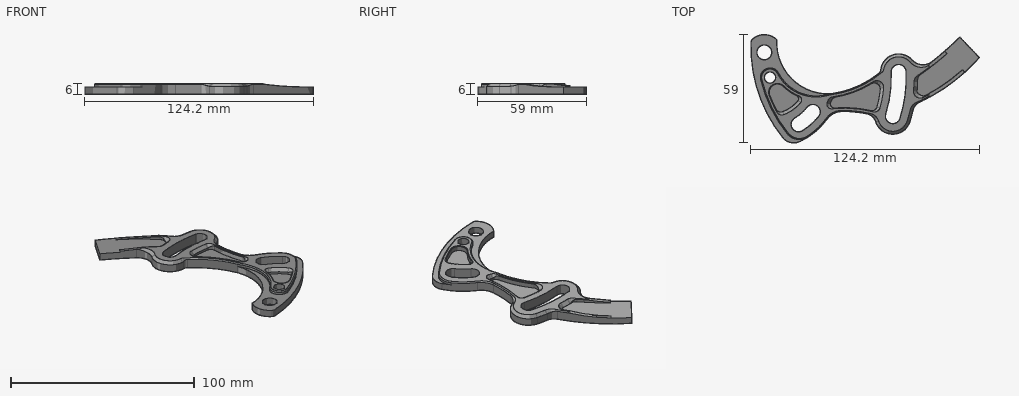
import cadquery as cq
import math

PIVOT = (0.0, 0.0)

BASE_HEIGHT = 4.0
FULL_HEIGHT = 6.0
POCKET_FLOOR = 3.0
TAPER_DEPTH = FULL_HEIGHT - BASE_HEIGHT

EDGE_CHAMFER = 0.6
LUG_CHAMFER = 1.6
WALL = 1.9
RIM_CHAMFER = 0.4
END_CHAMFER = 1.7
RAIL_WIDTH = 1.5
RAIL_CHAMFER = 0.4

PIVOT_HOLE_RADIUS = 3.0
BOLT_RADIUS = 4.0
BOLT_HOLE = (-3.1, 13.7)
BLADE_SLOT_RADIUS = 29.8
BLADE_SLOT_ANGLES = (-58.7, -38.7)
LUG_SLOT_RADIUS = 69.9
LUG_SLOT_ANGLES = (-17.5, 2.5)
LUG_RADIUS = 9.8

BLADE_BACK = ((68.0, 16.5), 78.5)
BLADE_HOLLOW = ((31.4, 18.9), 27.7)
BLADE_FOOT = (PIVOT, 38.4)
BLADE_TIP = (BOLT_HOLE, 9.7)
BOSS_END = (PIVOT, 5.2)
BOSS_BACK = (BLADE_BACK[0], math.hypot(*BLADE_BACK[0]) + BOSS_END[1])
BOSS_HOLLOW_CENTER = (25.1, 13.0)
BOSS_HOLLOW = (BOSS_HOLLOW_CENTER, math.hypot(*BOSS_HOLLOW_CENTER) - BOSS_END[1])
NECK_TOP = ((26.3, 43.5), 52.6)
NECK_BOTTOM = ((40.2, -80.6), 62.1)
ARM_TOP = ((-15.3, 140.0), 167.1)
ARM_BOTTOM = ((39.7, 75.9), 98.5)
ARM_LIMIT = (PIVOT, 124.2)

BLADE_POCKET_END = (PIVOT, 21.5)
NECK_POCKET_START = (PIVOT, 33.9)
NECK_POCKET_END = (PIVOT, 62.0)
ARM_POCKET_START = (PIVOT, 78.2)

ARM_TIP = (108.5, 16.3)
ARM_TIP_ANGLE = -46.3
RAIL_END = (100.3, 8.6)
RAIL_SLOPE = ((86.3, 5.6), (96.8, 4.5), (106.8, 4.1))

BLADE_CORNER = 7.6
TIP_CORNER = 2.5
BOSS_CORNER = BLADE_FOOT[1] - BLADE_SLOT_RADIUS
FOOT_FILLET = 9.9
NECK_BOTTOM_FILLET = 6.2
ARM_BOTTOM_FILLET = 6.2
ARM_TOP_FILLET = 8.1
NECK_TOP_FILLET = 3.1
HOLLOW_CORNER = 12.4
BLADE_POCKET_BACK_CORNER = 3.1
BLADE_POCKET_HOLLOW_CORNER = 2.2
BLADE_POCKET_TOP_CORNER = 4.8
NECK_POCKET_START_TOP_CORNER = 3.2
NECK_POCKET_START_BOTTOM_CORNER = 2.5
NECK_POCKET_END_TOP_CORNER = 3.7
NECK_POCKET_END_BOTTOM_CORNER = 3.1
ARM_POCKET_TOP_CORNER = 3.7
ARM_POCKET_BOTTOM_CORNER = 3.7

INSIDE = 1
OUTSIDE = -1
WIDENING = 1
NARROWING = -1
SHARP = 0

LARGE = 248.3


def polar(radius, angle):
    """The point at this radius and angle (degrees) from the pivot."""
    return (radius * math.cos(math.radians(angle)), radius * math.sin(math.radians(angle)))


def grown(circle, amount):
    """The concentric circle with a radius larger by amount."""
    return (circle[0], circle[1] + amount)


def crossing(first, second, near):
    """The common point of two circles that is closest to a given point."""
    (x1, y1), r1 = first
    (x2, y2), r2 = second
    distance = math.hypot(x2 - x1, y2 - y1)
    along = (distance**2 + r1**2 - r2**2) / (2 * distance)
    across = math.sqrt(max(r1**2 - along**2, 0))
    ux, uy = (x2 - x1) / distance, (y2 - y1) / distance
    points = [
        (x1 + along * ux - sign * across * uy, y1 + along * uy + sign * across * ux) for sign in (1, -1)
    ]
    return min(points, key=lambda point: math.dist(point, near))


def point_toward(circle, target):
    """The point of a circle on the ray from its center through the target."""
    (x, y), radius = circle
    scale = radius / math.dist((x, y), target)
    return (x + scale * (target[0] - x), y + scale * (target[1] - y))


def arc_middle(circle, side, start, end):
    """The middle of the arc that runs counterclockwise for INSIDE and clockwise for OUTSIDE."""
    (x, y), radius = circle
    start_angle = math.atan2(start[1] - y, start[0] - x)
    end_angle = math.atan2(end[1] - y, end[0] - x)
    sweep = (side * (end_angle - start_angle)) % (2 * math.pi)
    middle = start_angle + side * sweep / 2
    return (x + radius * math.cos(middle), y + radius * math.sin(middle))


def outline(sides, growth=0.0, height=0.0):
    """A closed wire of arcs around an area, listed counterclockwise and moved outward by growth.

    Each side is (circle, INSIDE or OUTSIDE, corner radius, corner position): the area lies inside
    or outside that circle, and the corner joins it to the next side. A positive radius rounds a
    protruding corner, a negative one fills a hollow corner, SHARP adds nothing.
    """
    sides = [
        (grown(circle, side * growth), side, radius and radius + growth, near)
        for circle, side, radius, near in sides
    ]
    corner_arcs = []
    entries = []
    exits = []
    for (circle, side, radius, near), (following, next_side, _, _) in zip(sides, sides[1:] + sides[:1]):
        center = crossing(grown(circle, -side * radius), grown(following, -next_side * radius), near)
        if radius == SHARP:
            exits.append(center)
            entries.append(center)
        else:
            exits.append(point_toward(circle, center))
            entries.append(point_toward(following, center))
        corner_arcs.append(((center, abs(radius)), int(math.copysign(1, radius))))
    path = cq.Workplane("XY", origin=(0, 0, height)).moveTo(*entries[-1])
    for i, (circle, side, radius, _) in enumerate(sides):
        path = path.threePointArc(arc_middle(circle, side, entries[i - 1], exits[i]), exits[i])
        if radius != SHARP:
            path = path.threePointArc(arc_middle(*corner_arcs[i], exits[i], entries[i]), entries[i])
    return path.close().val()


def prism(wire, height):
    """The wire filled and raised by height."""
    return cq.Workplane(cq.Solid.extrudeLinear(wire, [], cq.Vector(0, 0, height)))


def tapered(sides, direction):
    """From full height down to the base height, WIDENING or NARROWING at 45 degrees."""
    top = outline(sides, height=FULL_HEIGHT)
    bottom = outline(sides, direction * TAPER_DEPTH, BASE_HEIGHT)
    return cq.Workplane(cq.Solid.makeLoft([bottom, top], True))


def blade_sides():
    """The low blade with the bolt hole at its tip; its right end is covered by the neck."""
    return [
        (BLADE_BACK, INSIDE, BLADE_CORNER, (9.9, -37.2)),
        (BLADE_FOOT, INSIDE, SHARP, (37.2, -8.7)),
        (BLADE_HOLLOW, OUTSIDE, SHARP, (3.7, 19.9)),
        (BLADE_TIP, INSIDE, TIP_CORNER, (-9.9, 19.9)),
    ]


def web_sides(inset, lug_inset):
    """Boss, neck, lug and arm; the lug is moved in by its own amount."""
    lug_radius = LUG_RADIUS - lug_inset
    lug_bottom, lug_top = [(polar(LUG_SLOT_RADIUS, angle), lug_radius) for angle in LUG_SLOT_ANGLES]
    lug_outer = (PIVOT, LUG_SLOT_RADIUS + lug_radius)
    return [
        (grown(BOSS_BACK, -inset), INSIDE, BOSS_CORNER - inset, (13.7, -36)),
        (grown(BLADE_FOOT, -inset), INSIDE, -FOOT_FILLET, (33.5, -18.6)),
        (grown(NECK_BOTTOM, inset), OUTSIDE, -NECK_BOTTOM_FILLET, (57.1, -21.1)),
        (lug_bottom, INSIDE, SHARP, (75.7, -23.6)),
        (lug_outer, INSIDE, -ARM_BOTTOM_FILLET, (78.2, -14.9)),
        (grown(ARM_BOTTOM, -inset), INSIDE, SHARP, (121.7, 22.3)),
        (ARM_LIMIT, INSIDE, SHARP, (118, 38.5)),
        (grown(ARM_TOP, inset), OUTSIDE, -ARM_TOP_FILLET, (79.5, 2.5)),
        (lug_top, INSIDE, -NECK_TOP_FILLET, (59.6, 3.7)),
        (grown(NECK_TOP, inset), OUTSIDE, HOLLOW_CORNER, (33.5, -8.7)),
        (grown(BOSS_HOLLOW, inset), OUTSIDE, SHARP, (5, 2.5)),
        (grown(BOSS_END, -inset), INSIDE, SHARP, (-5, -1.2)),
    ]


def blade_pocket_sides(inset, end_inset):
    """The pocket between the pivot hole and the blade slot, cut off short of the slot."""
    wall = WALL + inset
    return [
        (grown(BOSS_BACK, -wall), INSIDE, BLADE_POCKET_BACK_CORNER - inset, (5, -21.1)),
        (grown(BLADE_POCKET_END, -end_inset), INSIDE, BLADE_POCKET_HOLLOW_CORNER - inset, (16.1, -12.4)),
        (grown(BOSS_HOLLOW, wall), OUTSIDE, BLADE_POCKET_TOP_CORNER - inset, (3.7, -7.5)),
    ]


def neck_pocket_sides(inset, end_inset):
    """The long pocket along the neck, between the two slots."""
    wall = WALL + inset
    return [
        (grown(NECK_BOTTOM, wall), OUTSIDE, NECK_POCKET_END_BOTTOM_CORNER - inset, (59.6, -18.6)),
        (grown(NECK_POCKET_END, -end_inset), INSIDE, NECK_POCKET_END_TOP_CORNER - inset, (60.8, -1.2)),
        (grown(NECK_TOP, wall), OUTSIDE, NECK_POCKET_START_TOP_CORNER - inset, (32.3, -9.9)),
        (grown(NECK_POCKET_START, end_inset), OUTSIDE, NECK_POCKET_START_BOTTOM_CORNER - inset, (32.3, -17.4)),
    ]


def arm_pocket_sides(inset, end_inset):
    """The channel between the arm rails, open past the arm tip."""
    wall = RAIL_WIDTH + inset
    return [
        (grown(ARM_BOTTOM, -wall), INSIDE, SHARP, (121.7, 22.3)),
        (ARM_LIMIT, INSIDE, SHARP, (118, 38.5)),
        (grown(ARM_TOP, wall), OUTSIDE, ARM_POCKET_TOP_CORNER - inset, (78.2, 1.2)),
        (grown(ARM_POCKET_START, end_inset), OUTSIDE, ARM_POCKET_BOTTOM_CORNER - inset, (78.2, -11.2)),
    ]


def pocket(sides, inset, end_inset, floor):
    """Upright walls up from the floor, opening into a tapered rim."""
    well = prism(outline(sides(inset, end_inset), height=floor), FULL_HEIGHT - floor)
    return well.union(tapered(sides(0, 0), NARROWING))


def arc_slot(radius, angles):
    """A slot curved around the pivot, with round ends."""
    first, last = [(polar(radius, angle), BOLT_RADIUS) for angle in angles]
    middle = polar(radius, sum(angles) / 2)
    sides = [
        (first, INSIDE, SHARP, polar(radius + BOLT_RADIUS, angles[0])),
        ((PIVOT, radius + BOLT_RADIUS), INSIDE, SHARP, polar(radius + BOLT_RADIUS, angles[1])),
        (last, INSIDE, SHARP, polar(radius - BOLT_RADIUS, angles[1])),
        ((PIVOT, radius - BOLT_RADIUS), OUTSIDE, SHARP, polar(radius - BOLT_RADIUS, angles[0])),
    ]
    return prism(outline(sides), FULL_HEIGHT)


def hole(center, radius):
    """A round hole through the full height."""
    return cq.Workplane("XY").center(*center).circle(radius).extrude(FULL_HEIGHT)


def block_beyond(point, floor):
    """A block covering everything past a line across the arm, above the floor."""
    block = cq.Workplane("XY").box(LARGE, LARGE, LARGE, centered=(True, False, False))
    return block.rotate((0, 0, 0), (0, 0, 1), ARM_TIP_ANGLE).translate((*point, floor))


def above_rails():
    """Everything above the hollow slope of the arm rails."""
    start, middle, end = RAIL_SLOPE
    profile = (
        cq.Workplane("XZ")
        .moveTo(*start)
        .threePointArc(middle, end)
        .lineTo(ARM_LIMIT[1], end[1])
        .lineTo(ARM_LIMIT[1], LARGE)
        .lineTo(start[0], LARGE)
        .close()
    )
    return profile.extrude(LARGE, both=True)


def web():
    """The raised body, its top edge tapered off: widely around the lug, narrowly elsewhere."""
    full = prism(outline(web_sides(0, 0)), FULL_HEIGHT)
    lower = prism(outline(web_sides(0, 0)), BASE_HEIGHT)
    top = full.intersect(tapered(web_sides(EDGE_CHAMFER, LUG_CHAMFER), WIDENING))
    return lower.union(top)


result = prism(outline(blade_sides()), BASE_HEIGHT).union(web())

result = result.cut(block_beyond(ARM_TIP, 0))
result = result.cut(block_beyond(RAIL_END, BASE_HEIGHT))
result = result.cut(above_rails())

result = result.cut(pocket(blade_pocket_sides, RIM_CHAMFER, END_CHAMFER, POCKET_FLOOR))
result = result.cut(pocket(neck_pocket_sides, RIM_CHAMFER, END_CHAMFER, POCKET_FLOOR))
result = result.cut(pocket(arm_pocket_sides, RAIL_CHAMFER, TAPER_DEPTH, BASE_HEIGHT))

result = result.cut(hole(PIVOT, PIVOT_HOLE_RADIUS))
result = result.cut(hole(BOLT_HOLE, BOLT_RADIUS))
result = result.cut(arc_slot(BLADE_SLOT_RADIUS, BLADE_SLOT_ANGLES))
result = result.cut(arc_slot(LUG_SLOT_RADIUS, LUG_SLOT_ANGLES))